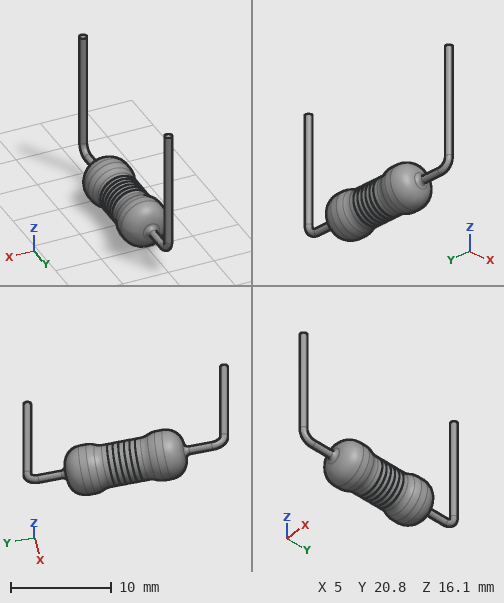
import cadquery as cq

overall_length = 20.8
overall_height = 16.1

wire_diameter = 0.8
bend_radius = 1.19

cap_diameter = 5.0
band_diameter = 4.26
groove_diameter = 4.25
band_count = 7
band_zone_end = 1.98
cap_inner = 3.47
cap_outer = 4.25
body_end = 6.01
neck_radius = 0.48

wire_radius = wire_diameter / 2
cap_radius = cap_diameter / 2
band_radius = band_diameter / 2
groove_radius = groove_diameter / 2
band_width = 2 * band_zone_end / band_count
shoulder_radius = (cap_radius + band_radius) / 2
shoulder_middle = (cap_inner + band_zone_end) / 2
neck_end = body_end + neck_radius
lead_y = overall_length / 2 - wire_radius
lead_top = overall_height - cap_radius


def make_band(index):
    """One colour band; even ones stand slightly proud of the odd ones."""
    radius = band_radius if index % 2 == 0 else groove_radius
    start = -band_zone_end + index * band_width
    return cq.Workplane("XZ", origin=(0, start, 0)).circle(radius).extrude(-band_width)


def make_cap():
    """Rounded end cap on +Y, with an S-shaped shoulder and a fillet onto the wire."""
    rise = shoulder_radius - band_radius
    run = shoulder_middle - band_zone_end
    shoulder_arc = (rise**2 + run**2) / (2 * rise)
    neck_foot = wire_radius + neck_radius
    end_drop = cap_radius - neck_foot
    end_run = body_end - cap_outer
    end_arc = (end_drop**2 + end_run**2) / (2 * end_drop)
    return (
        cq.Workplane("XY")
        .moveTo(0, band_zone_end)
        .lineTo(band_radius, band_zone_end)
        .radiusArc((shoulder_radius, shoulder_middle), shoulder_arc)
        .radiusArc((cap_radius, cap_inner), -shoulder_arc)
        .lineTo(cap_radius, cap_outer)
        .radiusArc((neck_foot, body_end), -end_arc)
        .radiusArc((wire_radius, neck_end), neck_radius)
        .lineTo(0, neck_end)
        .close()
        .revolve(360, (0, 0, 0), (0, 1, 0))
    )


def make_lead():
    """Wire on +Y: straight out of the neck, a quarter bend, then straight up."""
    path = (
        cq.Workplane("YZ")
        .moveTo(neck_end, 0)
        .lineTo(lead_y - bend_radius, 0)
        .tangentArcPoint((lead_y, bend_radius), relative=False)
        .lineTo(lead_y, lead_top)
    )
    return cq.Workplane("XZ", origin=(0, neck_end, 0)).circle(wire_radius).sweep(path)


end_assembly = make_cap().union(make_lead())
result = end_assembly.union(end_assembly.mirror("XZ"))
for band_index in range(band_count):
    result = result.union(make_band(band_index))